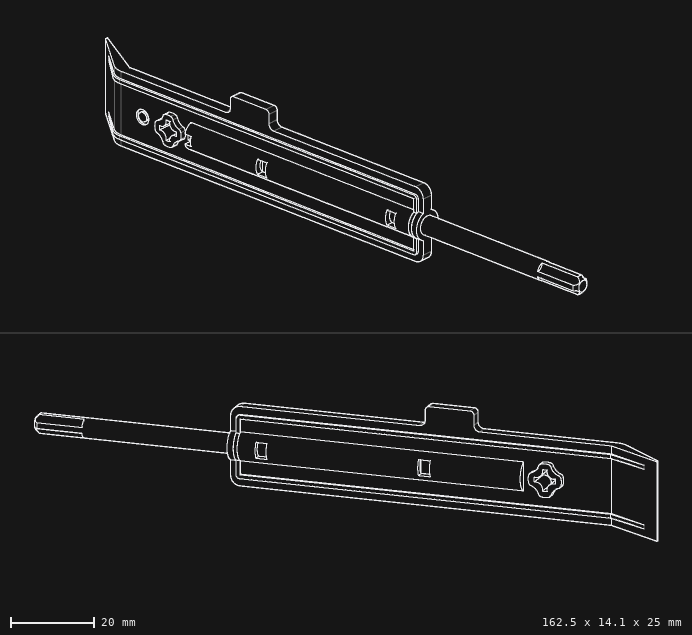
import cadquery as cq
import math


total_length = 162.5
handle_end = 112.3
plate_thickness = 3.0
plate_width = 20.0
plate_corner_radius = 2.5
half_thickness = plate_thickness / 2
half_width = plate_width / 2
blade_angle = math.radians(40)
bend_x = 12.9
bend_radius = 5.0
back_corner_x = 14.8
tip_back_y = 10.08
tip_front_y = bend_x * math.tan(blade_angle) - half_thickness

tab_start = 50.0
tab_end = 62.5
tab_height = 5.0
tab_root_radius = 1.5
tab_corner_radius = 1.0

rim_outer_half_width = 8.0
rim_width = 1.0
rim_height = 0.6
rim_inset = 1.6
rim_end = handle_end - rim_inset
rim_runout_x = 4.2
rim_corner_radius = 1.0
rim_inner_half_width = rim_outer_half_width - rim_width
rim_y = half_thickness + rim_height

grip_radius = 3.95
grip_start = 37.3
band_radius = 4.0

rod_radius = 2.5
rod_start = 40.0
lobed_tip_start = 150.0
tip_chamfer = 1.0
rod_lobe_width = 1.5
rod_flute_radius = 1.5
flat_half_distance = 1.6

end_pocket_start = 36.3
end_pocket_length = 3.0
end_pocket_width = 2.7
window_width = 4.0
middle_window_start = 60.5
middle_window_length = 3.0
front_window_start = 102.3
front_window_length = 2.8

key_x = 31.3
key_radius = 2.75
key_lobe_width = 1.2
key_flute_radius = 1.75
key_boss_radius = 4.25
key_boss_lobe_width = 3.0
key_boss_flute_radius = 3.0
key_boss_lobe_rounding = 1.0
key_boss_half_height = 3.1

ring_x = 21.7
ring_outer_diameter = 4.0
ring_inner_diameter = 2.6
ring_depth = 0.5


def box(x_start, x_end, y_start, y_end, z_start, z_end):
    """Block between the given limits."""
    size = (x_end - x_start, y_end - y_start, z_end - z_start)
    return cq.Workplane().box(*size, centered=False).translate((x_start, y_start, z_start))


def rod_cylinder(radius, x_start, x_end):
    """Cylinder on the rod axis."""
    return cq.Workplane("YZ", origin=(x_start, 0, 0)).circle(radius).extrude(x_end - x_start)


def blade_back_y(x):
    """Y position of the flat back of the blade at X."""
    return tip_back_y + (half_thickness - tip_back_y) * x / back_corner_x


def blade_front_y(x):
    """Y position of the flat front of the blade at X."""
    return tip_front_y - x * math.tan(blade_angle)


def side_profile(points, half_height, bend):
    """Outline in the XY plane extruded evenly about Z = 0, with its front bend rounded."""
    solid = cq.Workplane("XY").polyline(points).close().extrude(half_height, both=True)
    nearest_bend = cq.selectors.NearestToPointSelector((bend[0], bend[1], 0))
    return solid.edges("|Z").edges(nearest_bend).fillet(bend_radius)


def lobed_section(plane, radius, lobe_width, flute_radius, length):
    """Four-lobed bar: a round bar with four flutes on its diagonals, extruded evenly about the plane."""
    half_lobe = lobe_width / 2
    edge = math.sqrt(radius**2 - half_lobe**2)
    chord_distance = (edge + half_lobe) / math.sqrt(2)
    half_chord = (edge - half_lobe) / math.sqrt(2)
    flute_distance = chord_distance + math.sqrt(flute_radius**2 - half_chord**2)
    bar = cq.Workplane(plane).circle(radius).extrude(length / 2, both=True)
    flutes = (
        cq.Workplane(plane)
        .polarArray(flute_distance, 45, 360, 4)
        .circle(flute_radius)
        .extrude(length / 2, both=True)
    )
    return bar.cut(flutes)


def make_plate():
    """Flat handle plate that bends into the tapered lever blade."""
    bend = (bend_x, -half_thickness)
    outline = [
        (0, tip_back_y),
        (0, tip_front_y),
        bend,
        (handle_end, -half_thickness),
        (handle_end, half_thickness),
        (back_corner_x, half_thickness),
    ]
    plate = side_profile(outline, half_width, bend)
    return plate.edges("|Y and >X").fillet(plate_corner_radius)


def add_tab(plate):
    """Add the tab on the plate's upper edge, with rounded corners and flared roots."""
    top = half_width + tab_height
    tab = box(tab_start, tab_end, -half_thickness, half_thickness, 0, top)
    tabbed_plate = plate.union(tab)
    for height, radius in ((top, tab_corner_radius), (half_width, tab_root_radius)):
        for x in (tab_start, tab_end):
            corner = cq.selectors.NearestToPointSelector((x, 0, height))
            tabbed_plate = tabbed_plate.edges("|Y").edges(corner).fillet(radius)
    return tabbed_plate


def make_rim():
    """U-shaped rim that stands proud of both faces."""
    bend = (bend_x, -rim_y)
    outline = [
        (rim_runout_x, blade_back_y(rim_runout_x)),
        (rim_runout_x, blade_front_y(rim_runout_x)),
        bend,
        (rim_end, -rim_y),
        (rim_end, rim_y),
        (back_corner_x, rim_y),
    ]
    rim = side_profile(outline, rim_outer_half_width, bend)
    rim = rim.edges("|Y and >X").fillet(rim_corner_radius)
    inside = box(
        0, rim_end - rim_width, -tip_back_y, tip_back_y, -rim_inner_half_width, rim_inner_half_width
    )
    return rim.cut(inside)


def make_grip():
    """Round grip with a slightly raised band where the rim crosses it."""
    band = rod_cylinder(band_radius, rim_end - rim_width, rim_end)
    return rod_cylinder(grip_radius, grip_start, handle_end).union(band)


def make_key():
    """Key boss and the four-lobed socket that passes through it."""
    depth = 2 * key_boss_half_height
    socket = lobed_section("XZ", key_radius, key_lobe_width, key_flute_radius, depth)
    boss = lobed_section("XZ", key_boss_radius, key_boss_lobe_width, key_boss_flute_radius, depth)
    boss = boss.edges("|Y").fillet(key_boss_lobe_rounding)
    return boss.translate((key_x, 0, 0)), socket.translate((key_x, 0, 0))


def make_ring_mark():
    """Shallow annular groove in the front face."""
    return (
        cq.Workplane("XZ", origin=(ring_x, -half_thickness, 0))
        .circle(ring_outer_diameter / 2)
        .circle(ring_inner_diameter / 2)
        .extrude(-ring_depth)
    )


def make_grip_openings():
    """Front pocket at the grip's end and two windows that bare the rod on both sides."""
    pocket_half = end_pocket_width / 2
    openings = box(
        end_pocket_start, end_pocket_start + end_pocket_length, -band_radius, 0, -pocket_half, pocket_half
    )
    windows = (
        (middle_window_start, middle_window_length),
        (front_window_start, front_window_length),
    )
    for start, length in windows:
        window = box(
            start, start + length, -band_radius, band_radius, -window_width / 2, window_width / 2
        )
        openings = openings.union(window)
    return openings


def make_rod():
    """Driver rod with flats at the middle window and a chamfered four-lobed tip."""
    rod = rod_cylinder(rod_radius, rod_start, total_length).faces(">X").chamfer(tip_chamfer)
    tip_length = total_length - lobed_tip_start
    tip_zone = rod_cylinder(2 * rod_radius, lobed_tip_start, total_length)
    tip_middle = lobed_tip_start + tip_length / 2
    tip_section = lobed_section("YZ", rod_radius, rod_lobe_width, rod_flute_radius, tip_length)
    tip_section = tip_section.translate((tip_middle, 0, 0))
    rod = rod.cut(tip_zone.cut(tip_section))
    flat_end = middle_window_start + middle_window_length
    flat_zone = box(
        middle_window_start, flat_end, -rod_radius, rod_radius, -rod_radius, rod_radius
    )
    kept_core = box(
        middle_window_start, flat_end, -flat_half_distance, flat_half_distance, -rod_radius, rod_radius
    )
    return rod.cut(flat_zone.cut(kept_core))


def make_handle(rod):
    """Handle moulded around the rod."""
    key_boss, key_socket = make_key()
    handle = add_tab(make_plate()).union(make_rim()).union(make_grip()).union(key_boss)
    return handle.cut(key_socket).cut(make_ring_mark()).cut(rod).cut(make_grip_openings())


rod = make_rod()
handle = make_handle(rod)
result = cq.Compound.makeCompound([handle.solids().val(), rod.solids().val()])